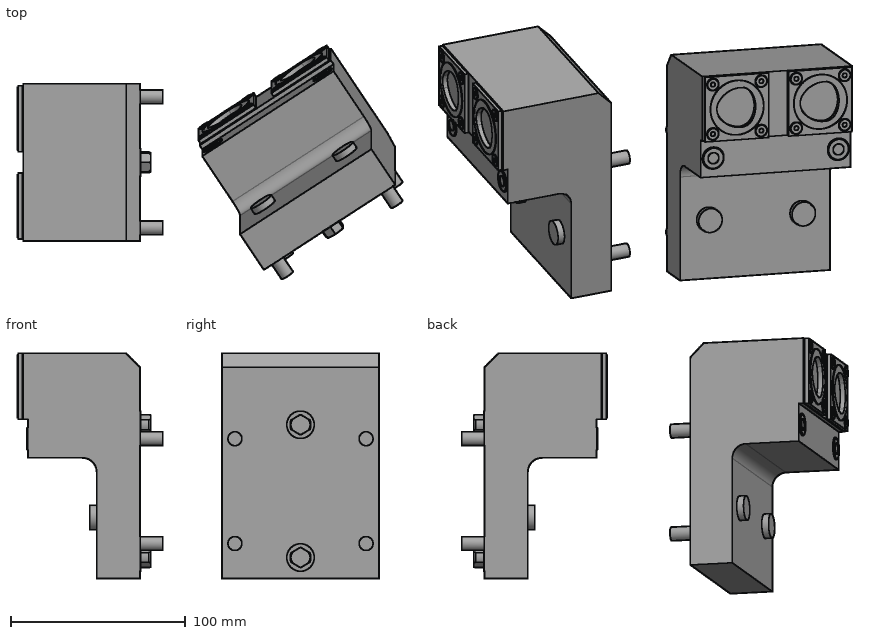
import cadquery as cq
import math

width = 90.0
height = 129.0
head_depth = 67.0
nose_depth = 64.2
leg_depth = 24.9
nose_top = 91.1
nose_bottom = 69.0
inner_radius = 8.0
rear_chamfer = 8.0

unit_pitch = 50.0
plate_side = height - nose_top
plate_thickness = 2.5
gasket_thickness = 0.4
gasket_inset = 0.5
gasket_side = plate_side - 2 * gasket_inset
raised_height = 0.5
ring_diameter = 32.0
small_screw_pitch = 29.0
small_screw_diameter = 7.1
small_socket_diameter = 2.6
small_screw_chamfer = 0.3

window_width = 23.3
window_tip_radius = 8.0

mount_pitch_y = 75.1
mount_pitch_z = 60.0
mount_middle_z = 50.0
shank_diameter = 8.0
shank_length = 13.0
screw_head_diameter = 12.9
screw_head_height = 0.6
screw_head_chamfer = 0.5
screw_socket_diameter = 6.5
socket_depth = 0.3

button_diameter = 14.0
button_height = 4.0
button_pitch = 56.0
button_z = 35.0

nut_pitch_z = 76.0
flange_diameter = 15.7
flange_thickness = 0.5
nut_diameter = 12.0
nut_across_flats = 10.0
nut_end = 6.2
nut_chamfer_length = 1.3
nut_chamfer_depth = 0.5

plate_back_x = -head_depth - gasket_thickness
plate_front_x = plate_back_x - plate_thickness
unit_z = height - plate_side / 2
upper_mount_z = mount_middle_z + mount_pitch_z / 2


def cylinder(x, y, z, diameter, length):
    """Cylinder along X; a negative length runs toward the front (-X)."""
    start = cq.Vector(x, y, z)
    direction = cq.Vector(math.copysign(1, length), 0, 0)
    return cq.Workplane(cq.Solid.makeCylinder(diameter / 2, abs(length), start, direction))


def slab(x, y, z, depth, size_y, size_z):
    """Box from x toward the front, centred on y and z."""
    return cq.Workplane("XY").box(depth, size_y, size_z).translate((x - depth / 2, y, z))


def screw_head(x, y, z, diameter, raise_height, chamfer, socket_diameter):
    """Chamfered head standing on a front face, with a shallow round socket."""
    head = cylinder(x, y, z, diameter, -raise_height).faces("<X").chamfer(chamfer)
    return head.cut(cylinder(x - raise_height, y, z, socket_diameter, socket_depth))


def body():
    outline = [
        (0, 0),
        (0, height - rear_chamfer),
        (-rear_chamfer, height),
        (-head_depth, height),
        (-head_depth, nose_top),
        (-nose_depth, nose_top),
        (-nose_depth, nose_bottom),
        (-leg_depth, nose_bottom),
        (-leg_depth, 0),
    ]
    block = cq.Workplane("XZ").polyline(outline).close().extrude(width / 2, both=True)
    inner_corner = cq.selectors.NearestToPointSelector((-leg_depth, 0, nose_bottom))
    return block.edges(inner_corner).fillet(inner_radius)


def window(y):
    """Rounded triangle pointing to +Y, cut from the ring face through the plate."""
    disc_radius = window_width - window_tip_radius
    triangle_radius = (disc_radius - window_tip_radius) / math.sqrt(3)
    depth = plate_thickness + raised_height
    centres = []
    for angle in (0, 120, 240):
        turn = math.radians(angle)
        centre_y = y + triangle_radius * math.cos(turn)
        centre_z = unit_z + triangle_radius * math.sin(turn)
        centres.append((centre_y, centre_z))
    discs = [cylinder(plate_back_x, disc_y, disc_z, 2 * disc_radius, -depth) for disc_y, disc_z in centres]
    shape = discs[0].intersect(discs[1]).intersect(discs[2])
    return shape.edges("|X").fillet(window_tip_radius)


def sensor_unit(y):
    gasket = slab(-head_depth, y, unit_z, gasket_thickness, gasket_side, gasket_side)
    plate = slab(plate_back_x, y, unit_z, plate_thickness, plate_side, plate_side)
    ring = cylinder(plate_front_x, y, unit_z, ring_diameter, -raised_height)
    unit = gasket.union(plate).union(ring).cut(window(y))
    for side_y in (-1, 1):
        for side_z in (-1, 1):
            unit = unit.union(screw_head(
                plate_front_x,
                y + side_y * small_screw_pitch / 2,
                unit_z + side_z * small_screw_pitch / 2,
                small_screw_diameter, raised_height, small_screw_chamfer, small_socket_diameter,
            ))
    return unit


def nut(z):
    """Round flange and a nut with four hexagon flats, rounded on its +Y and -Y sides."""
    flange = cylinder(0, 0, z, flange_diameter, flange_thickness)
    barrel = cylinder(0, 0, z, nut_diameter, nut_end)
    barrel = barrel.faces(">X").chamfer(nut_chamfer_length, nut_chamfer_depth)
    half_height = nut_across_flats / math.sqrt(3)
    half_width = nut_across_flats
    flats = (
        cq.Workplane("YZ")
        .polyline([(0, z + half_height), (half_width, z), (0, z - half_height), (-half_width, z)])
        .close()
        .extrude(nut_end)
    )
    return flange.union(barrel.intersect(flats))


result = body()

for side in (-1, 1):
    mount_y = side * mount_pitch_y / 2
    result = result.union(sensor_unit(side * unit_pitch / 2))
    result = result.union(screw_head(
        -nose_depth, mount_y, upper_mount_z,
        screw_head_diameter, screw_head_height, screw_head_chamfer, screw_socket_diameter,
    ))
    button_y = side * button_pitch / 2
    result = result.union(cylinder(-leg_depth, button_y, button_z, button_diameter, -button_height))
    for level in (-1, 1):
        shank_z = mount_middle_z + level * mount_pitch_z / 2
        result = result.union(cylinder(0, mount_y, shank_z, shank_diameter, shank_length))

for level in (-1, 1):
    result = result.union(nut(mount_middle_z + level * nut_pitch_z / 2))